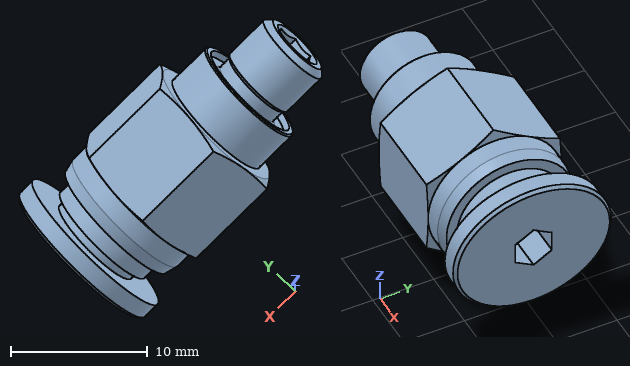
import cadquery as cq
import math

length = 22.75
thread_end = 4.05
collar_start = 4.95
hex_start = 8.5
hex_end = 16.5
sleeve_taper_start = 18.0
sleeve_end = 19.0
ring_end = 20.4
flange_start = 21.15

thread_radius = 3.0
nose_chamfer = 0.5
neck_radius = 2.78
neck_fillet = 0.23

collar_radius = 4.5
collar_chamfer = 0.11
recess_radius = 4.0
recess_depth = 0.55

hex_flats = 10.99
hex_chamfer_depth = 0.27

sleeve_radius = hex_flats / 2
sleeve_end_radius = 5.25
ring_radius = 4.41
ring_neck_radius = 3.75
flange_width_y = 13.0
flange_height_z = hex_flats
flange_chamfer = 0.25

bore_flats = 3.0
bore_mouth_radius = 2.0
bore_cone_half_angle = 60.0


def corner_radius(flats):
    """Distance from the centre of a hexagon to a corner."""
    return flats / 2 / math.cos(math.pi / 6)


def hex_prism(flats, start, end):
    """Hexagonal prism along X with two corners on the Z axis."""
    radius = corner_radius(flats)
    corners = []
    for i in range(6):
        angle = math.radians(90 + 60 * i)
        corners.append((radius * math.cos(angle), radius * math.sin(angle)))
    return cq.Workplane("YZ", origin=(start, 0, 0)).polyline(corners).close().extrude(end - start)


def revolve_profile(points):
    """Solid of revolution about X from (x, radius) points, closed along the axis."""
    profile = [(points[0][0], 0)] + points + [(points[-1][0], 0)]
    return cq.Workplane("XY").polyline(profile).close().revolve(360, (0, 0, 0), (1, 0, 0))


def make_nose_and_collar():
    """Threaded nose, relief neck and collar; the neck is filleted into the recess floor."""
    neck_start = thread_end + thread_radius - neck_radius
    recess_floor = collar_start + recess_depth
    return (
        cq.Workplane("XY")
        .lineTo(0, thread_radius - nose_chamfer)
        .lineTo(nose_chamfer, thread_radius)
        .lineTo(thread_end, thread_radius)
        .lineTo(neck_start, neck_radius)
        .lineTo(recess_floor - neck_fillet, neck_radius)
        .radiusArc((recess_floor, neck_radius + neck_fillet), -neck_fillet)
        .lineTo(recess_floor, recess_radius)
        .lineTo(collar_start, recess_radius)
        .lineTo(collar_start, collar_radius - collar_chamfer)
        .lineTo(collar_start + collar_chamfer, collar_radius)
        .lineTo(hex_start, collar_radius)
        .lineTo(hex_start, 0)
        .close()
        .revolve(360, (0, 0, 0), (1, 0, 0))
    )


def make_hex_body():
    """Hexagon whose corners are turned down conically at both ends."""
    outer = corner_radius(hex_flats)
    inner = hex_flats / 2
    envelope = revolve_profile([
        (hex_start, inner),
        (hex_start + hex_chamfer_depth, outer),
        (hex_end - hex_chamfer_depth, outer),
        (hex_end, inner),
    ])
    return hex_prism(hex_flats, hex_start, hex_end).intersect(envelope)


def make_sleeve_and_ring():
    return revolve_profile([
        (hex_end, sleeve_radius),
        (sleeve_taper_start, sleeve_radius),
        (sleeve_end, sleeve_end_radius),
        (sleeve_end, ring_radius),
        (ring_end, ring_radius),
        (ring_end, ring_neck_radius),
        (flange_start, ring_neck_radius),
    ])


def make_flange():
    return (
        cq.Workplane("YZ", origin=(flange_start, 0, 0))
        .ellipse(flange_width_y / 2, flange_height_z / 2)
        .extrude(length - flange_start)
        .faces(">X")
        .chamfer(flange_chamfer)
    )


def make_bore():
    cone_depth = bore_mouth_radius / math.tan(math.radians(bore_cone_half_angle))
    mouth = cq.Workplane("XY").polyline([(0, 0), (0, bore_mouth_radius), (cone_depth, 0)]).close()
    mouth = mouth.revolve(360, (0, 0, 0), (1, 0, 0))
    return hex_prism(bore_flats, 0, length).union(mouth)


result = (
    make_nose_and_collar()
    .union(make_hex_body())
    .union(make_sleeve_and_ring())
    .union(make_flange())
    .cut(make_bore())
)